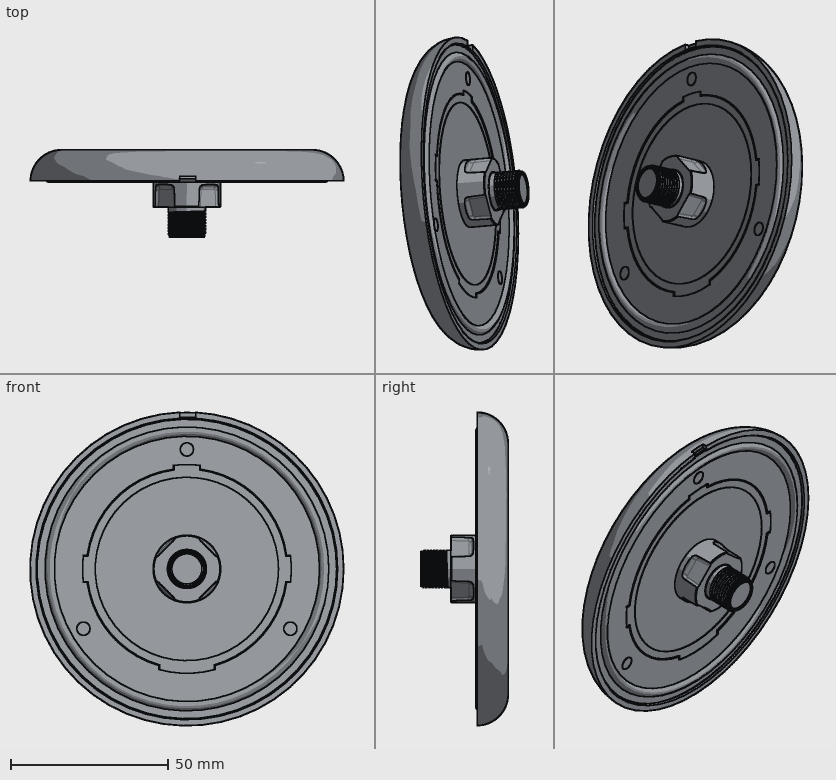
import math
import cadquery as cq


COVER_RADIUS = 49.9
DOME_RADIUS = 10.1
RIM_Y = -9.9

PLATE_Y = RIM_Y + 0.6
PLATE_RADIUS = 47.6
PLATE_GAP = 0.35
PLATE_GAP_DEPTH = 0.5

SEAL_RADIUS = 43.65
SEAL_SECTION_RADIUS = 1.55
SEAL_PROJECTION = 1.1

NOTCH_WIDTH = 5.1
NOTCH_CENTRE_X = 0.25
NOTCH_FLOOR_Z = 48.3
NOTCH_DEPTH = 1.5

RECESS_RADIUS = 32.0
RECESS_GAP = 0.25
RECESS_GAP_DEPTH = 0.3
TAB_RADIUS = 33.2
TAB_WIDTH = 8.6
BOTTOM_TAB_WIDTH = 17.9
CENTRE_RADIUS = 29.15
LOCK_RING_DEPTH = 0.1
CENTRE_DEPTH = 0.25

DIMPLE_RADIUS = 2.1
DIMPLE_CIRCLE_RADIUS = 38.0
DIMPLE_DEPTH = 0.1
DIMPLE_ANGLES = (90, 210, 330)

HUB_RADIUS = 10.75
HUB_END_Y = -18.3
HUB_CHAMFER = 0.25
HUB_GROOVE_RADIUS = 6.2
HUB_GROOVE_DEPTH = 0.3

POCKET_FLOOR_RADIUS = 9.4
POCKET_BACK_Y = -11.0
POCKET_BACK_HALF_WIDTH = 4.6
POCKET_END_HALF_WIDTH = 5.0
POCKET_WALL_TAPER = 25
POCKET_CORNER_RADIUS = 1.5
POCKET_FLOOR_FILLET = 1.4
POCKET_ANGLES = (45, 135, 225, 315)

THREAD_RADIUS = 5.95
THREAD_PITCH = 1.0
THREAD_DEPTH = 0.6
THREAD_GROOVE_WIDTH = 0.9
THREAD_SECTION_CLEARANCE = 0.1
THREAD_START_Y = -19.6
THREAD_END_Y = -27.1
THREAD_OVERRUN = 1.0
STUB_END_Y = -27.9
STUB_END_RADIUS = 5.65
STUB_CHAMFER = 0.3
TIP_RECESS_RADIUS = 4.8
TIP_RECESS_DEPTH = 0.4


def facing_front(y):
    """Workplane at height y, with +X right, +Z up and its normal toward -Y."""
    return cq.Workplane("XZ", origin=(0, y, 0))


def disc(radius, y_back, y_front):
    return facing_front(y_back).circle(radius).extrude(y_back - y_front)


def ring(outer, inner, y_back, y_front):
    return facing_front(y_back).circle(outer).circle(inner).extrude(y_back - y_front)


def block(centre_x, width, z_low, z_high, y_back, y_front):
    return (
        facing_front(y_back)
        .center(centre_x, (z_low + z_high) / 2)
        .rect(width, z_high - z_low)
        .extrude(y_back - y_front)
    )


def make_cover():
    rim_to_dome_centre = math.sqrt(DOME_RADIUS**2 - (DOME_RADIUS + RIM_Y) ** 2)
    back_radius = COVER_RADIUS - rim_to_dome_centre
    diagonal = DOME_RADIUS * math.sqrt(0.5)
    cover = (
        cq.Workplane("XY")
        .lineTo(back_radius, 0)
        .threePointArc((back_radius + diagonal, diagonal - DOME_RADIUS), (COVER_RADIUS, RIM_Y))
        .lineTo(0, RIM_Y)
        .close()
        .revolve(360, (0, 0, 0), (0, 1, 0))
    )
    gap_outer = PLATE_RADIUS + PLATE_GAP
    cover = cover.cut(disc(gap_outer, PLATE_Y, RIM_Y))
    return cover.cut(ring(gap_outer, PLATE_RADIUS, PLATE_Y + PLATE_GAP_DEPTH, PLATE_Y))


def make_seal():
    seal_y = PLATE_Y - SEAL_PROJECTION + SEAL_SECTION_RADIUS
    return (
        cq.Workplane("XY")
        .center(SEAL_RADIUS, seal_y)
        .circle(SEAL_SECTION_RADIUS)
        .revolve(360, (-SEAL_RADIUS, 0, 0), (-SEAL_RADIUS, 1, 0))
    )


def make_notch():
    """Notch in the rim; the lip left at its inner end is lowered to the plate."""
    notch = block(NOTCH_CENTRE_X, NOTCH_WIDTH, NOTCH_FLOOR_Z, COVER_RADIUS, RIM_Y + NOTCH_DEPTH, RIM_Y)
    lip = block(NOTCH_CENTRE_X, NOTCH_WIDTH, PLATE_RADIUS, COVER_RADIUS, PLATE_Y, RIM_Y)
    return notch.union(lip)


def tabbed_disc(radius, side_gap, y_back, y_front):
    """Disc with three narrow tabs and a wide one at the bottom, all reaching the same radius."""
    narrow = TAB_WIDTH - 2 * side_gap
    wide = BOTTOM_TAB_WIDTH - 2 * side_gap
    top_tab = block(0, narrow, 0, TAB_RADIUS, y_back, y_front)
    side_tabs = block(0, 2 * TAB_RADIUS, -narrow / 2, narrow / 2, y_back, y_front)
    bottom_tab = block(0, wide, -TAB_RADIUS, 0, y_back, y_front)
    tabs = top_tab.union(side_tabs).union(bottom_tab).intersect(disc(TAB_RADIUS, y_back, y_front))
    return tabs.union(disc(radius, y_back, y_front))


def make_recess():
    gap_y = PLATE_Y + RECESS_GAP_DEPTH
    lock_ring = tabbed_disc(RECESS_RADIUS - RECESS_GAP, RECESS_GAP, gap_y, PLATE_Y + LOCK_RING_DEPTH)
    recess = tabbed_disc(RECESS_RADIUS, 0, gap_y, PLATE_Y).cut(lock_ring)
    return recess.union(disc(CENTRE_RADIUS, PLATE_Y + CENTRE_DEPTH, PLATE_Y))


def make_dimples():
    centres = [
        (
            DIMPLE_CIRCLE_RADIUS * math.cos(math.radians(angle)),
            DIMPLE_CIRCLE_RADIUS * math.sin(math.radians(angle)),
        )
        for angle in DIMPLE_ANGLES
    ]
    return facing_front(PLATE_Y + DIMPLE_DEPTH).pushPoints(centres).circle(DIMPLE_RADIUS).extrude(DIMPLE_DEPTH)


def make_pocket():
    """Pocket on the +Z side of the hub, narrowing inward and open at the hub end."""
    overrun_y = HUB_END_Y - HUB_RADIUS / 2
    spread_per_length = (POCKET_END_HALF_WIDTH - POCKET_BACK_HALF_WIDTH) / (POCKET_BACK_Y - HUB_END_Y)
    overrun_half_width = POCKET_BACK_HALF_WIDTH + spread_per_length * (POCKET_BACK_Y - overrun_y)
    return (
        cq.Workplane("XY", origin=(0, 0, HUB_RADIUS))
        .polyline(
            [
                (-POCKET_BACK_HALF_WIDTH, POCKET_BACK_Y),
                (POCKET_BACK_HALF_WIDTH, POCKET_BACK_Y),
                (overrun_half_width, overrun_y),
                (-overrun_half_width, overrun_y),
            ]
        )
        .close()
        .extrude(POCKET_FLOOR_RADIUS - HUB_RADIUS, taper=POCKET_WALL_TAPER)
        .edges("not #Z")
        .edges(">Y")
        .fillet(POCKET_CORNER_RADIUS)
        .faces("<Z")
        .edges()
        .fillet(POCKET_FLOOR_FILLET)
    )


def make_hub():
    hub = disc(HUB_RADIUS, PLATE_Y + CENTRE_DEPTH, HUB_END_Y).faces("<Y").chamfer(HUB_CHAMFER)
    hub = hub.cut(disc(HUB_GROOVE_RADIUS, HUB_END_Y + HUB_GROOVE_DEPTH, HUB_END_Y))
    pocket = make_pocket()
    for angle in POCKET_ANGLES:
        hub = hub.cut(pocket.rotate((0, 0, 0), (0, 1, 0), angle))
    return hub


def make_thread_groove():
    """V groove swept along a helix that starts at the collar and runs out past the shank."""
    helix = cq.Wire.makeHelix(
        THREAD_PITCH,
        THREAD_START_Y - THREAD_END_Y + THREAD_OVERRUN,
        THREAD_RADIUS,
        cq.Vector(0, THREAD_START_Y, 0),
        cq.Vector(0, -1, 0),
    )
    start = helix.startPoint()
    outward = cq.Vector(start.x, 0, start.z)
    section_plane = cq.Plane(origin=start, xDir=outward, normal=outward.cross(cq.Vector(0, 1, 0)))
    half_width = THREAD_GROOVE_WIDTH / 2
    return (
        cq.Workplane(section_plane)
        .polyline(
            [
                (THREAD_SECTION_CLEARANCE, -half_width),
                (THREAD_SECTION_CLEARANCE, half_width),
                (-THREAD_DEPTH, 0),
            ]
        )
        .close()
        .sweep(cq.Workplane(helix), isFrenet=True)
    )


def make_stub():
    shank = disc(THREAD_RADIUS, HUB_END_Y + HUB_GROOVE_DEPTH, THREAD_END_Y)
    end = disc(STUB_END_RADIUS, THREAD_END_Y, STUB_END_Y).faces("<Y").chamfer(STUB_CHAMFER)
    stub = shank.cut(make_thread_groove()).union(end)
    return stub.cut(disc(TIP_RECESS_RADIUS, STUB_END_Y + TIP_RECESS_DEPTH, STUB_END_Y))


result = (
    make_cover()
    .cut(make_notch())
    .cut(make_recess())
    .cut(make_dimples())
    .union(make_seal())
    .union(make_hub())
    .union(make_stub())
)